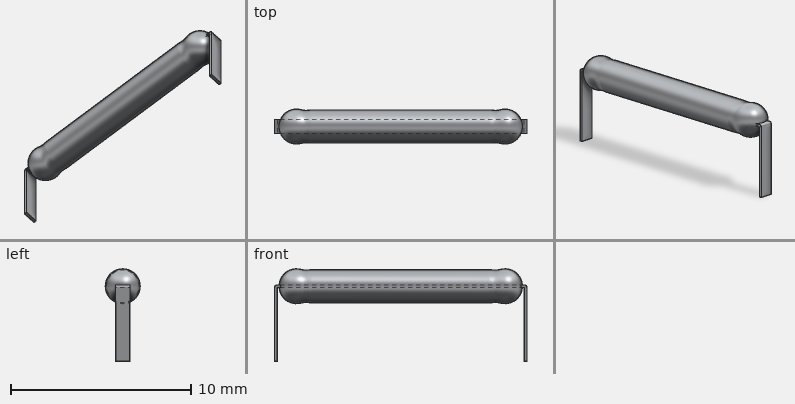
import cadquery as cq
import math

span = 14.0
total_height = 5.14

tube_radius = 1.85 / 2
ball_radius = 1.95 / 2
glass_half_length = 6.75
tube_half_length = 4.93
ball_edge_x = 5.52
neck_radius = 1.04

strip_width = 0.8
strip_thickness = 0.15
bend_radius = 0.14
leg_depth = total_height - ball_radius


def point_between(start, end, fraction):
    """Point at a given fraction of the way from start to end."""
    return tuple(a + (b - a) * fraction for a, b in zip(start, end))


def point_on_arc(center, radius, start, end):
    """Point halfway along the short arc from start to end."""
    chord_middle = point_between(start, end, 0.5)
    return point_between(center, chord_middle, radius / math.dist(center, chord_middle))


def make_glass_end():
    """Shoulder, neck and ball of the +X end, revolved about X."""
    ball_center = (glass_half_length - ball_radius, 0)
    ball_tip = (glass_half_length, 0)
    ball_inset = ball_center[0] - ball_edge_x
    ball_edge = (ball_edge_x, math.sqrt(ball_radius**2 - ball_inset**2))

    neck_center = point_between(ball_center, ball_edge, (ball_radius + neck_radius) / ball_radius)

    run = neck_center[0] - tube_half_length
    rise = neck_center[1] - tube_radius
    shoulder_radius = (run**2 + rise**2 - neck_radius**2) / (2 * (neck_radius - rise))
    shoulder_center = (tube_half_length, tube_radius - shoulder_radius)
    shoulder_share = shoulder_radius / (shoulder_radius + neck_radius)
    neck_start = point_between(shoulder_center, neck_center, shoulder_share)
    tube_end = (tube_half_length, tube_radius)

    return (
        cq.Workplane("XY")
        .moveTo(tube_half_length, 0)
        .lineTo(*tube_end)
        .threePointArc(point_on_arc(shoulder_center, shoulder_radius, tube_end, neck_start), neck_start)
        .threePointArc(point_on_arc(neck_center, neck_radius, neck_start, ball_edge), ball_edge)
        .threePointArc(point_on_arc(ball_center, ball_radius, ball_edge, ball_tip), ball_tip)
        .close()
        .revolve(360, (0, 0, 0), (1, 0, 0))
    )


def make_glass():
    """Straight tube with the same end on both sides."""
    tube = cq.Workplane("YZ", (-tube_half_length, 0, 0)).circle(tube_radius).extrude(2 * tube_half_length)
    end = make_glass_end()
    return tube.union(end).union(end.mirror("YZ"))


def make_lead():
    """One strip: straight through the glass and bent down at both ends."""
    top = strip_thickness / 2
    height = leg_depth + top
    strip = (
        cq.Workplane("XY")
        .box(span, strip_width, height)
        .translate((0, 0, top - height / 2))
        .edges("|Y and >Z")
        .fillet(bend_radius)
    )
    space_between_legs = (
        cq.Workplane("XY")
        .box(span - 2 * strip_thickness, strip_width, leg_depth)
        .translate((0, 0, -top - leg_depth / 2))
    )
    return strip.cut(space_between_legs)


lead = make_lead()
glass = make_glass().cut(lead)

result = cq.Compound.makeCompound([*glass.solids().vals(), *lead.solids().vals()])